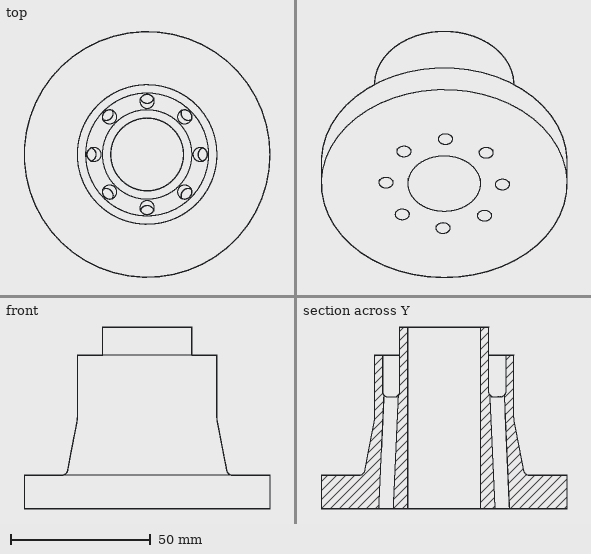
import cadquery as cq
import math

flange_diameter = 88.0
flange_height = 12.1

total_height = 65.0
outer_tube_top = 55.0
outer_tube_diameter = 50.0
outer_tube_inner_diameter = 44.0
inner_tube_diameter = 32.0
bore_diameter = 26.0

taper_top = 32.0
taper_base_radius = 28.9
neck_blend_radius = 10.0
foot_fillet = 2.0
selection_margin = 0.4

pocket_floor = 39.95
pocket_fillet = 2.0

hole_count = 8
hole_diameter = 5.0
hole_circle_radius = 19.0
hole_tilt = 2.6
hole_overrun = 4.4


def blend_circle(body, radius, height, fillet_radius):
    """Fillet the circular edge around Z with the given radius and height."""
    reach = radius + selection_margin
    lower = (-reach, -reach, height - selection_margin)
    upper = (reach, reach, height + selection_margin)
    inside = cq.selectors.BoxSelector(lower, upper, boundingbox=True)
    return body.edges(inside).fillet(fillet_radius)


def make_body():
    """Revolve the solid outline of flange, neck and both tubes."""
    outer_tube_radius = outer_tube_diameter / 2
    inner_tube_radius = inner_tube_diameter / 2
    outline = (
        cq.Workplane("XZ")
        .lineTo(flange_diameter / 2, 0)
        .lineTo(flange_diameter / 2, flange_height)
        .lineTo(taper_base_radius, flange_height)
        .lineTo(outer_tube_radius, taper_top)
        .lineTo(outer_tube_radius, outer_tube_top)
        .lineTo(inner_tube_radius, outer_tube_top)
        .lineTo(inner_tube_radius, total_height)
        .lineTo(0, total_height)
        .close()
    )
    body = outline.revolve(360, (0, 0, 0), (0, 1, 0))
    body = blend_circle(body, taper_base_radius, flange_height, foot_fillet)
    return blend_circle(body, outer_tube_radius, taper_top, neck_blend_radius)


def make_pocket():
    """Annular pocket with rounded floor corners."""
    return (
        cq.Workplane("XY", origin=(0, 0, pocket_floor))
        .circle(outer_tube_inner_diameter / 2)
        .circle(inner_tube_diameter / 2)
        .extrude(outer_tube_top - pocket_floor)
        .faces("<Z")
        .edges()
        .fillet(pocket_fillet)
    )


def make_drain_hole(angle):
    """Leaning cylinder from the pocket floor through the underside."""
    tilt = math.radians(hole_tilt)
    direction = cq.Vector(math.sin(tilt), 0, -math.cos(tilt))
    start = cq.Vector(hole_circle_radius, 0, pocket_floor) - direction * hole_overrun
    length = pocket_floor / math.cos(tilt) + 2 * hole_overrun
    hole = cq.Solid.makeCylinder(hole_diameter / 2, length, start, direction)
    return hole.rotate(cq.Vector(0, 0, 0), cq.Vector(0, 0, 1), angle)


bore = cq.Workplane("XY").circle(bore_diameter / 2).extrude(total_height)
result = make_body().cut(make_pocket()).cut(bore)
for index in range(hole_count):
    result = result.cut(cq.Workplane(make_drain_hole(index * 360 / hole_count)))